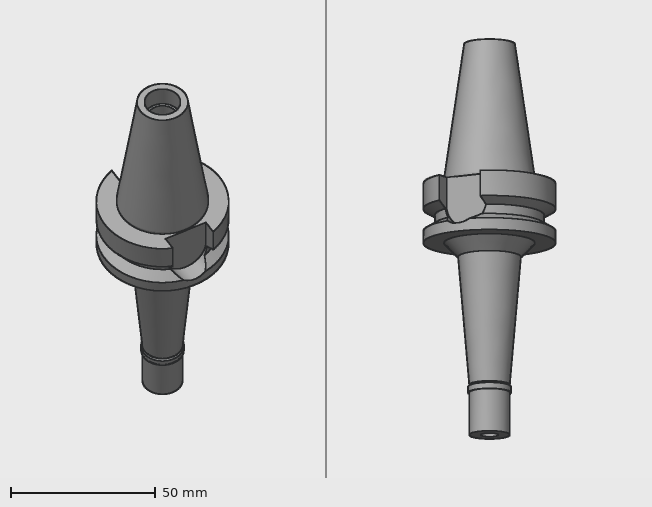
import cadquery as cq

TOTAL_HEIGHT = 138.4
NUT_COLLAR_BOTTOM = 15.0
NUT_TOP = 17.0
NOSE_BOTTOM = 17.7
NOSE_TOP = 63.0
FLANGE_BOTTOM = 68.0
GROOVE_BOTTOM = 72.1
GROOVE_FLOOR_BOTTOM = 74.5
GROOVE_FLOOR_TOP = 77.8
GROOVE_TOP = 80.0
FLANGE_TOP = 89.0
TAPER_BASE = 90.0

NUT_RADIUS = 7.0
NUT_COLLAR_RADIUS = 7.5
NECK_RADIUS = 6.2
NOSE_BOTTOM_RADIUS = 7.0
NOSE_TOP_RADIUS = 11.0
FLARE_TOP_RADIUS = 15.8
FLANGE_RADIUS = 23.0
GROOVE_FLOOR_RADIUS = 19.0
TAPER_BASE_RADIUS = 15.9
TAPER_PER_LENGTH = 7 / 24
TAPER_TOP_RADIUS = TAPER_BASE_RADIUS - (TOTAL_HEIGHT - TAPER_BASE) * TAPER_PER_LENGTH / 2

COUNTERBORE_RADIUS = 6.2
COUNTERBORE_DEPTH = 7.3
DRAWBAR_BORE_RADIUS = 5.3
HOLDER_BORE_RADIUS = 4.0
NUT_BORE_RADIUS = 3.0

SLOT_WIDTH = 16.0
SLOT_FLOOR_X = 16.3
SLOT_BOTTOM = 70.9


def revolve_profile(points):
    """Turn a closed outline of (radius, height) points about the Z axis."""
    return cq.Workplane("YZ").polyline(points).close().revolve(360, (0, 0), (0, 1))


def holder_blank():
    """Turned holder with its stepped bore."""
    counterbore_floor = TOTAL_HEIGHT - COUNTERBORE_DEPTH
    outside = [
        (NECK_RADIUS, NUT_TOP),
        (NECK_RADIUS, NOSE_BOTTOM),
        (NOSE_BOTTOM_RADIUS, NOSE_BOTTOM),
        (NOSE_TOP_RADIUS, NOSE_TOP),
        (FLARE_TOP_RADIUS, FLANGE_BOTTOM),
        (FLANGE_RADIUS, FLANGE_BOTTOM),
        (FLANGE_RADIUS, GROOVE_BOTTOM),
        (GROOVE_FLOOR_RADIUS, GROOVE_FLOOR_BOTTOM),
        (GROOVE_FLOOR_RADIUS, GROOVE_FLOOR_TOP),
        (FLANGE_RADIUS, GROOVE_TOP),
        (FLANGE_RADIUS, FLANGE_TOP),
        (TAPER_BASE_RADIUS, FLANGE_TOP),
        (TAPER_BASE_RADIUS, TAPER_BASE),
        (TAPER_TOP_RADIUS, TOTAL_HEIGHT),
    ]
    bore = [
        (COUNTERBORE_RADIUS, TOTAL_HEIGHT),
        (COUNTERBORE_RADIUS, counterbore_floor),
        (DRAWBAR_BORE_RADIUS, counterbore_floor),
        (DRAWBAR_BORE_RADIUS, TAPER_BASE),
        (HOLDER_BORE_RADIUS, TAPER_BASE),
        (HOLDER_BORE_RADIUS, NUT_TOP),
    ]
    return revolve_profile(outside + bore)


def drive_slot(side):
    """Cutter for one round-bottomed key slot; side is +1 or -1 along X."""
    half_width = SLOT_WIDTH / 2
    arc_center = SLOT_BOTTOM + half_width
    return (
        cq.Workplane("YZ", origin=(side * SLOT_FLOOR_X, 0, 0))
        .moveTo(-half_width, FLANGE_TOP)
        .lineTo(-half_width, arc_center)
        .threePointArc((0, SLOT_BOTTOM), (half_width, arc_center))
        .lineTo(half_width, FLANGE_TOP)
        .close()
        .extrude(side * FLANGE_RADIUS)
    )


def make_holder():
    """Taper shank, flange and nose in one piece."""
    holder = holder_blank()
    for side in (-1, 1):
        holder = holder.cut(drive_slot(side))
    return holder


def make_nut():
    """Collared nut that seats against the end of the holder's neck."""
    return revolve_profile(
        [
            (NUT_BORE_RADIUS, 0),
            (NUT_RADIUS, 0),
            (NUT_RADIUS, NUT_COLLAR_BOTTOM),
            (NUT_COLLAR_RADIUS, NUT_COLLAR_BOTTOM),
            (NUT_COLLAR_RADIUS, NUT_TOP),
            (NUT_BORE_RADIUS, NUT_TOP),
        ]
    )


holder = make_holder()
nut = make_nut()
result = cq.Compound.makeCompound([holder.val(), nut.val()])